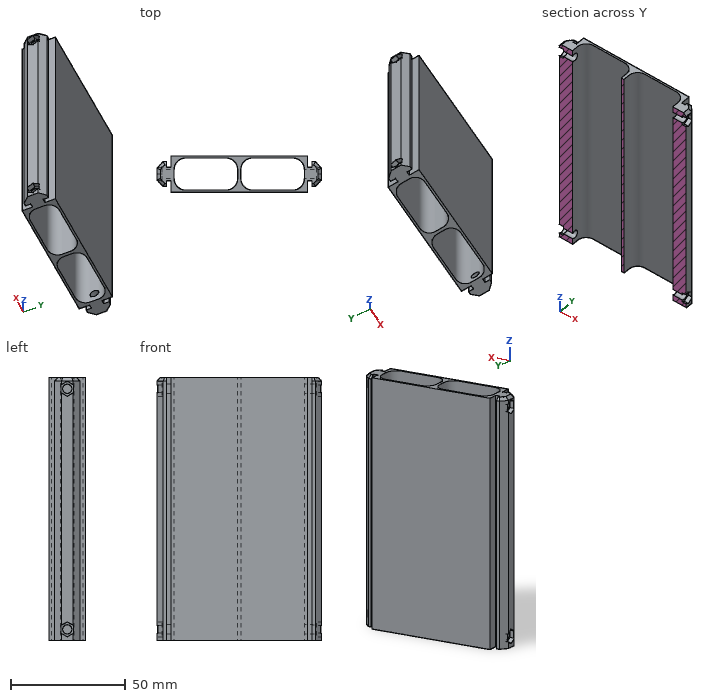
import cadquery as cq
import math

height = 115.0
body_width = 59.8
body_depth = 16.0
end_wall = 1.5
face_wall = 1.0
web = 1.5
cavity_radius = 5.0

overall_width = 72.0
neck_depth = 6.0
head_thickness = 4.3
head_depth = 11.0
bevel_run = 2.8
bevel_rise = 3.0
top_chamfer = 1.5

hole_diameter = 4.0
nut_across_corners = 6.5
nut_recess_depth = 2.3
hole_inset = 5.0

body_edge = body_width / 2
rail_edge = overall_width / 2
head_back = rail_edge - head_thickness
cavity_width = (body_width - 2 * end_wall - web) / 2
cavity_depth = body_depth - 2 * face_wall


def head_profile(inset):
    """Bevelled head section, its outer faces moved inward by inset."""
    outer = rail_edge - inset
    half_depth = head_depth / 2 - inset
    bevel_length = math.hypot(bevel_run, bevel_rise)
    half_flat = head_depth / 2 - bevel_rise - inset * (bevel_length - bevel_rise) / bevel_run
    bevel_start = rail_edge - bevel_run - inset * (bevel_length - bevel_run) / bevel_rise
    return [
        (head_back, -half_depth),
        (bevel_start, -half_depth),
        (outer, -half_flat),
        (outer, half_flat),
        (bevel_start, half_depth),
        (head_back, half_depth),
    ]


def make_rail():
    """Rail on the +X end, with the top of its head chamfered."""
    shoulder = height - top_chamfer
    head = cq.Workplane("XY").polyline(head_profile(0)).close().extrude(shoulder)
    tip = (
        cq.Workplane("XY", origin=(0, 0, shoulder))
        .polyline(head_profile(0)).close()
        .workplane(offset=top_chamfer)
        .polyline(head_profile(top_chamfer)).close()
        .loft(ruled=True)
    )
    neck_start = body_edge - end_wall / 2
    neck_end = head_back + head_thickness / 2
    neck = cq.Workplane("XY").box(
        neck_end - neck_start, neck_depth, height, centered=(False, True, False)
    ).translate((neck_start, 0, 0))
    return head.union(tip).union(neck)


def make_screw_cut(z):
    """Screw hole into the cavity and its nut recess, on the +X end."""
    outer_face = cq.Workplane("YZ", origin=(rail_edge, 0, z))
    hole_depth = rail_edge - body_edge + end_wall + cavity_width / 2
    hole = outer_face.circle(hole_diameter / 2).extrude(-hole_depth)
    recess = (
        outer_face.transformed(rotate=(0, 0, 90))
        .polygon(6, nut_across_corners)
        .extrude(-nut_recess_depth)
    )
    return hole.union(recess)


def add_both_ends(solid, end_feature):
    return solid.union(end_feature).union(end_feature.mirror("YZ"))


def cut_both_ends(solid, end_feature):
    return solid.cut(end_feature).cut(end_feature.mirror("YZ"))


result = cq.Workplane("XY").box(body_width, body_depth, height, centered=(True, True, False))
result = add_both_ends(result, make_rail())

cavity = (
    cq.Workplane("XY")
    .box(cavity_width, cavity_depth, height, centered=(True, True, False))
    .edges("|Z").fillet(cavity_radius)
    .translate(((cavity_width + web) / 2, 0, 0))
)
result = cut_both_ends(result, cavity)

for hole_height in (hole_inset, height - hole_inset):
    result = cut_both_ends(result, make_screw_cut(hole_height))